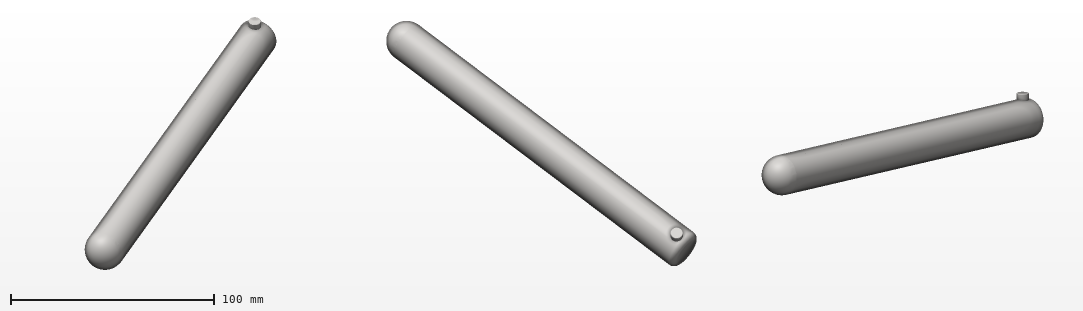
import cadquery as cq

rod_length = 190.0
rod_diameter = 20.0
rod_radius = rod_diameter / 2
end_fillet = 3.0

overall_height = 23.0
pin_diameter = 6.0
pin_end_distance = 6.0
pin_chamfer = 0.2


def make_rod():
    """Cylinder centred on the Y axis with a hemispherical -Y end."""
    rod = cq.Workplane("XZ").circle(rod_radius).extrude(-(rod_length - rod_radius))
    rod = rod.faces(">Y").edges().fillet(end_fillet)
    dome = cq.Workplane("XY").sphere(rod_radius)
    return rod.union(dome)


def make_pin():
    """Upright pin rooted on the rod axis, with its top edge slightly broken."""
    pin_y = rod_length - rod_radius - pin_end_distance
    pin_height = overall_height - rod_radius
    pin = cq.Workplane("XY").center(0, pin_y).circle(pin_diameter / 2).extrude(pin_height)
    return pin.faces(">Z").edges().chamfer(pin_chamfer)


result = make_rod().union(make_pin())